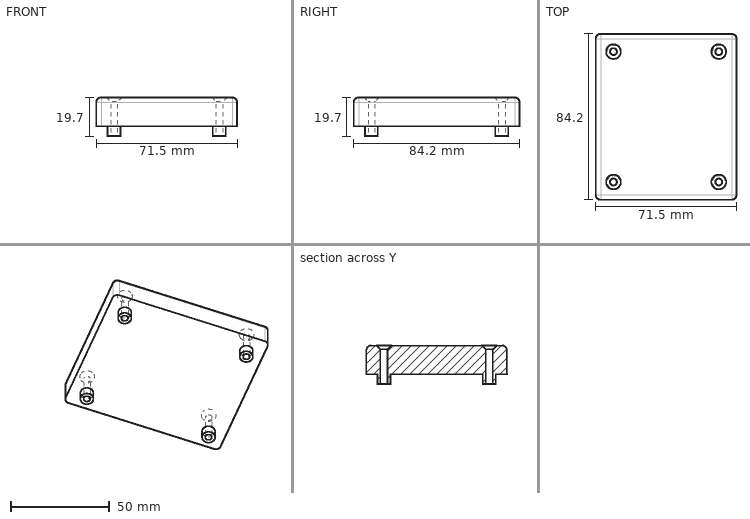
import cadquery as cq

length_x = 71.5
length_y = 84.2
total_height = 19.7
leg_height = 5.0
edge_radius = 2.5

fastener_spacing_x = 53.4
fastener_spacing_y = 66.1
leg_diameter = 6.65
hole_diameter = 3.4
countersink_diameter = 7.5
countersink_angle = 90.0

body_height = total_height - leg_height


def make_body():
    """Plain block standing on Z = 0, rounded at the vertical corners and the top rim."""
    block = cq.Workplane("XY").box(length_x, length_y, body_height, centered=(True, True, False))
    return block.edges("|Z").fillet(edge_radius).faces(">Z").edges().fillet(edge_radius)


def at_fasteners(plane):
    """Place one point per fastener on the corners of a centred rectangle."""
    return plane.rect(fastener_spacing_x, fastener_spacing_y, forConstruction=True).vertices()


def add_legs(body):
    """Round legs hanging below the underside, one under each fastener."""
    legs = at_fasteners(cq.Workplane("XY")).circle(leg_diameter / 2).extrude(-leg_height)
    return body.union(legs)


def cut_screw_holes(body):
    """Countersunk holes running from the top face down through the legs."""
    top_plane = body.faces(">Z").workplane(origin=(0, 0, body_height))
    return at_fasteners(top_plane).cskHole(hole_diameter, countersink_diameter, countersink_angle)


result = cut_screw_holes(add_legs(make_body()))